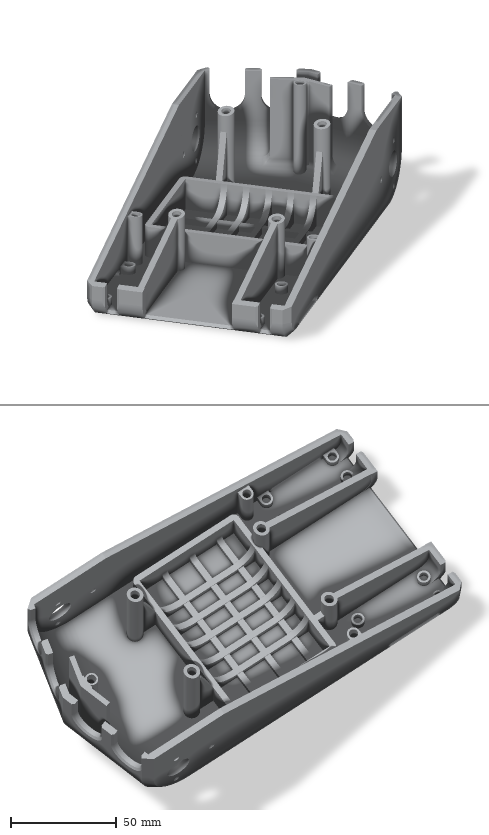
import cadquery as cq
import math

LENGTH = 197.8
WIDTH = 101.6
BACK_HEIGHT = 50.8
FRONT_HEIGHT = 17.2
SLOPE_END_Y = 139.8
WALL = 3.5
FRONT_RADIUS = 9.9
BACK_RADIUS = 24.5
BACK_ANGLE = 15.0
EDGE_CHAMFER = 3.5
TALL = 2 * BACK_HEIGHT

INNER_HALF = WIDTH / 2 - WALL
SLOPE = (BACK_HEIGHT - FRONT_HEIGHT) / SLOPE_END_Y

SHAFT_Y = 166.3
SHAFT_Z = 21.8
SHAFT_DIAMETER = 12.7
SCREW_DIAMETER = 3.2
SCREW_PLACES = [(167.5, 33.6), (167.5, 9.9), (147.1, SHAFT_Z)]
SIDE_SLOT_START = 14.6
SIDE_SLOT_END = 44.7
SIDE_SLOT_HEIGHT = 3.5

NOTCH_WIDTH = 16.8
NOTCH_CENTER_Z = 38.2
NOTCH_OFFSETS = [14.8, 39.4]
NOTCH_CHAMFER = 1.0

FRONT_GAP_HALF = 22.1
LIP_SLOT_INNER = 35.0
LIP_SLOT_OUTER = 41.0
LIP_EDGE_Y = 3.8
LIP_EDGE_Z = 2.2
LIP_BEVEL_RUN = 1.0
LIP_SLOT_FLARE = 1.2
LIP_SLOT_FLARE_DEPTH = 0.5

TRAY_HALF = 42.7
TRAY_FRONT = 68.0
TRAY_BACK = 128.5
TRAY_WALL = 3.0
TRAY_HEIGHT = 19.4
TRAY_CORNER = 3.0
LONG_RIB_WIDTH = 3.2
LONG_RIB_XS = [-20.5, -9.5, 1.8, 12.7, 23.7]
LONG_RIB_HEIGHT = 7.1
CROSS_RIB_WIDTH = 3.2
CROSS_RIB_HEIGHT = 6.7
CROSS_RIB_YS = [79.3, 95.0, 110.7]
CROSS_RIB_RADIUS = 3.0

POST_DIAMETER = 8.0
POST_BORE = 4.5
POST_X = 24.0
WEB_WIDTH = 3.2
FRONT_POSTS = [(-POST_X, 60.3), (POST_X, 66.0)]
BACK_POSTS = [(-POST_X, 139.8), (POST_X, 139.2)]
GUSSET_TOPS = [41.5, 38.0]

BOSS_DIAMETER = 6.3
BOSS_BORE = 4.4
BOSS_OUTER_X = 44.1
BOSS_INNER_X = 31.6
BOSS_HEIGHT = 7.5
TALL_BOSS_HEIGHT = 28.7
TALL_BOSS_Y = 60.3
BOSS_YS = [10.9, 49.0]

PLATE_RIDGE_Y = 187.5
PLATE_THICKNESS = 2.5
PLATE_LENGTH = 16.0
PLATE_FOOT_FILLET = 3.4
RIDGE_POST_Y = 181.1
RIDGE_WEB_HALF = 3.8
RIDGE_WEB_Y = 183.3


def box(x0, x1, y0, y1, z0, z1):
    """Axis-aligned block between two corners."""
    return cq.Workplane("XY").box(x1 - x0, y1 - y0, z1 - z0, centered=False).translate((x0, y0, z0))


def post(x, y, diameter, height):
    return cq.Workplane("XY").center(x, y).circle(diameter / 2).extrude(height)


def bore(x, y, diameter):
    """Blind hole from above that stops at the floor."""
    return cq.Workplane("XY").workplane(offset=WALL).center(x, y).circle(diameter / 2).extrude(TALL)


def wing_plane(side, ridge_y):
    """Plane whose local x points out of one half of the V, local y is up."""
    angle = math.radians(BACK_ANGLE)
    return cq.Plane(
        origin=(0, ridge_y, 0),
        xDir=(side * math.sin(angle), math.cos(angle), 0),
        normal=(math.cos(angle), -side * math.sin(angle), 0),
    )


def rounded_block(inset):
    """Solid body outline moved inward by inset on the front, back, sides and underside."""
    front_radius = FRONT_RADIUS - inset
    back_radius = BACK_RADIUS - inset
    block = (
        cq.Workplane("YZ")
        .moveTo(inset, TALL)
        .lineTo(inset, FRONT_RADIUS)
        .radiusArc((FRONT_RADIUS, inset), -front_radius)
        .lineTo(LENGTH, inset)
        .lineTo(LENGTH, TALL)
        .close()
        .extrude(WIDTH / 2 - inset, both=True)
    )
    for side in (-1, 1):
        half = (
            cq.Workplane(wing_plane(side, LENGTH))
            .moveTo(-2 * LENGTH, inset)
            .lineTo(-BACK_RADIUS, inset)
            .radiusArc((-inset, BACK_RADIUS), -back_radius)
            .lineTo(-inset, TALL)
            .lineTo(-2 * LENGTH, TALL)
            .close()
            .extrude(2 * WIDTH, both=True)
        )
        block = block.intersect(half)
    return block


def below_top(top_end_y):
    """Region under the sloping top, which runs level behind top_end_y."""
    level = FRONT_HEIGHT + SLOPE * top_end_y
    return (
        cq.Workplane("YZ")
        .polyline([(0, 0), (0, FRONT_HEIGHT), (top_end_y, level), (LENGTH, level), (LENGTH, 0)])
        .close()
        .extrude(WIDTH, both=True)
    )


def chamfered_body():
    """Outer body with the lower and end edges of both flanks chamfered."""
    block = rounded_block(0).intersect(below_top(SLOPE_END_Y))
    flank_edges = [
        edge
        for face in block.faces("<X or >X").vals()
        for edge in face.Edges()
        if not (edge.Center().z > FRONT_HEIGHT and edge.Center().y < LENGTH - BACK_RADIUS)
    ]
    return block.newObject(flank_edges).chamfer(EDGE_CHAMFER)


def side_openings():
    """Shaft hole, screw holes and long slot, cut through both side walls."""
    plane = cq.Workplane("YZ")
    tool = plane.center(SHAFT_Y, SHAFT_Z).circle(SHAFT_DIAMETER / 2).extrude(WIDTH, both=True)
    tool = tool.union(plane.pushPoints(SCREW_PLACES).circle(SCREW_DIAMETER / 2).extrude(WIDTH, both=True))
    slot_middle = (SIDE_SLOT_START + SIDE_SLOT_END) / 2
    slot = (
        plane.center(slot_middle, WALL + SIDE_SLOT_HEIGHT / 2)
        .slot2D(SIDE_SLOT_END - SIDE_SLOT_START, SIDE_SLOT_HEIGHT)
        .extrude(WIDTH, both=True)
    )
    return tool.union(slot)


def notch_prism(radius, depth, taper=0):
    """U-shaped prism centred on X, running from Y = 0 toward -Y and narrowing by the taper angle."""
    return (
        cq.Workplane("XZ")
        .moveTo(-radius, TALL)
        .lineTo(-radius, NOTCH_CENTER_Z)
        .radiusArc((radius, NOTCH_CENTER_Z), -radius)
        .lineTo(radius, TALL)
        .close()
        .extrude(depth, taper=taper)
    )


def back_notches():
    """U-shaped notches cut square to each half of the back wall, chamfered on the outside."""
    radius = NOTCH_WIDTH / 2
    flare = notch_prism(radius + NOTCH_CHAMFER, NOTCH_CHAMFER, taper=45)
    notch = notch_prism(radius, 2 * WALL).union(flare)
    tool = cq.Workplane("XY")
    for side in (-1, 1):
        for offset in NOTCH_OFFSETS:
            placed = notch.translate((side * offset, 0, 0))
            placed = placed.rotate((0, 0, 0), (0, 0, 1), -side * BACK_ANGLE)
            tool = tool.union(placed.translate((0, LENGTH, 0)))
    return tool


def lip_openings():
    """Wide gap and two narrow slots in the front lip, ending in a bevelled floor edge."""
    tool = cq.Workplane("XY")
    spans = [
        (-FRONT_GAP_HALF, FRONT_GAP_HALF),
        (-LIP_SLOT_OUTER, -LIP_SLOT_INNER),
        (LIP_SLOT_INNER, LIP_SLOT_OUTER),
    ]
    for start, end in spans:
        gap = (
            cq.Workplane("YZ", origin=(start, 0, 0))
            .moveTo(0, 0)
            .lineTo(LIP_EDGE_Y, 0)
            .lineTo(LIP_EDGE_Y, LIP_EDGE_Z)
            .lineTo(LIP_EDGE_Y + LIP_BEVEL_RUN, WALL)
            .lineTo(FRONT_RADIUS, WALL)
            .lineTo(FRONT_RADIUS, TALL)
            .lineTo(0, TALL)
            .close()
            .extrude(end - start)
        )
        tool = tool.union(gap)
    for start, end in spans[1:]:
        mouth = (
            cq.Workplane("XY")
            .polyline([
                (start - LIP_SLOT_FLARE, 0),
                (end + LIP_SLOT_FLARE, 0),
                (end, LIP_SLOT_FLARE_DEPTH),
                (start, LIP_SLOT_FLARE_DEPTH),
            ])
            .close()
            .extrude(TALL)
        )
        tool = tool.union(mouth)
    return tool


def tray():
    """Walled tray with lengthwise ribs that curve up its ends and lower cross ribs."""
    inner_half = TRAY_HALF - TRAY_WALL
    inner_front = TRAY_FRONT + TRAY_WALL
    inner_back = TRAY_BACK - TRAY_WALL
    walls = box(-TRAY_HALF, TRAY_HALF, TRAY_FRONT, TRAY_BACK, 0, TRAY_HEIGHT).edges("|Z").fillet(TRAY_CORNER)
    walls = walls.cut(box(-inner_half, inner_half, inner_front, inner_back, 0, TALL))

    end_radius = TRAY_HEIGHT - LONG_RIB_HEIGHT
    for x in LONG_RIB_XS:
        rib = (
            cq.Workplane("YZ", origin=(x, 0, 0))
            .moveTo(inner_front, 0)
            .lineTo(inner_front, TRAY_HEIGHT)
            .radiusArc((inner_front + end_radius, LONG_RIB_HEIGHT), -end_radius)
            .lineTo(inner_back - end_radius, LONG_RIB_HEIGHT)
            .radiusArc((inner_back, TRAY_HEIGHT), -end_radius)
            .lineTo(inner_back, 0)
            .close()
            .extrude(LONG_RIB_WIDTH / 2, both=True)
        )
        walls = walls.union(rib)

    cross_end = CROSS_RIB_HEIGHT + CROSS_RIB_RADIUS
    for y in CROSS_RIB_YS:
        rib = (
            cq.Workplane("XZ", origin=(0, y, 0))
            .moveTo(-inner_half, 0)
            .lineTo(-inner_half, cross_end)
            .radiusArc((CROSS_RIB_RADIUS - inner_half, CROSS_RIB_HEIGHT), -CROSS_RIB_RADIUS)
            .lineTo(inner_half - CROSS_RIB_RADIUS, CROSS_RIB_HEIGHT)
            .radiusArc((inner_half, cross_end), -CROSS_RIB_RADIUS)
            .lineTo(inner_half, 0)
            .close()
            .extrude(CROSS_RIB_WIDTH / 2, both=True)
        )
        walls = walls.union(rib)
    return walls


def tall_posts():
    """Four screw posts; the front pair carry long webs and the back pair carry gussets."""
    posts = cq.Workplane("XY")
    half_web = WEB_WIDTH / 2
    for x, y in FRONT_POSTS:
        posts = posts.union(post(x, y, POST_DIAMETER, TALL))
        posts = posts.union(box(x - half_web, x + half_web, 0, y, 0, TALL))
        posts = posts.union(box(x - half_web, x + half_web, y, TRAY_FRONT, 0, TRAY_HEIGHT))
    for (x, y), gusset_top in zip(BACK_POSTS, GUSSET_TOPS):
        posts = posts.union(post(x, y, POST_DIAMETER, TALL))
        gusset = (
            cq.Workplane("YZ", origin=(x, 0, 0))
            .polyline([
                (TRAY_BACK, 0),
                (TRAY_BACK, TRAY_HEIGHT),
                (y - POST_DIAMETER / 2, gusset_top),
                (y, gusset_top),
                (y, 0),
            ])
            .close()
            .extrude(half_web, both=True)
        )
        posts = posts.union(gusset)
    return posts.intersect(below_top(BACK_POSTS[0][1] + POST_DIAMETER))


def small_bosses():
    """Short bosses on the floor, the outer ones joined to the side walls, plus one tall pair."""
    bosses = cq.Workplane("XY")
    heights = [(y, BOSS_HEIGHT) for y in BOSS_YS] + [(TALL_BOSS_Y, TALL_BOSS_HEIGHT)]
    radius = BOSS_DIAMETER / 2
    for side in (-1, 1):
        for y, height in heights:
            wall_ends = sorted((side * BOSS_OUTER_X, side * (INNER_HALF + WALL / 2)))
            bosses = bosses.union(post(side * BOSS_OUTER_X, y, BOSS_DIAMETER, height))
            bosses = bosses.union(box(*wall_ends, y - radius, y + radius, WALL / 2, height))
        for y in BOSS_YS:
            bosses = bosses.union(post(side * BOSS_INNER_X, y, BOSS_DIAMETER, BOSS_HEIGHT))
    return bosses


def ridge_plate():
    """V-shaped plate parallel to the back wall, with square ends."""
    angle = math.radians(BACK_ANGLE)
    ridge_thickness = PLATE_THICKNESS / math.cos(angle)
    back_x = PLATE_LENGTH * math.cos(angle)
    back_y = PLATE_RIDGE_Y - PLATE_LENGTH * math.sin(angle)
    front_x = back_x - PLATE_THICKNESS * math.sin(angle)
    front_y = back_y - PLATE_THICKNESS * math.cos(angle)
    return (
        cq.Workplane("XY")
        .polyline([
            (0, PLATE_RIDGE_Y),
            (back_x, back_y),
            (front_x, front_y),
            (0, PLATE_RIDGE_Y - ridge_thickness),
            (-front_x, front_y),
            (-back_x, back_y),
        ])
        .close()
        .extrude(BACK_HEIGHT)
    )


def bores():
    """Blind holes in every post and boss."""
    holes = cq.Workplane("XY")
    for x, y in FRONT_POSTS + BACK_POSTS + [(0, RIDGE_POST_Y)]:
        holes = holes.union(bore(x, y, POST_BORE))
    for side in (-1, 1):
        for y in BOSS_YS + [TALL_BOSS_Y]:
            holes = holes.union(bore(side * BOSS_OUTER_X, y, BOSS_BORE))
        for y in BOSS_YS:
            holes = holes.union(bore(side * BOSS_INNER_X, y, BOSS_BORE))
    return holes


def plate_foot_edges(solid):
    """Edges where the front and ends of the ridge plate meet the curved floor."""
    reach = PLATE_LENGTH + PLATE_THICKNESS
    zone = cq.selectors.BoxSelector(
        (-reach, RIDGE_POST_Y - PLATE_THICKNESS / 2, WALL),
        (reach, PLATE_RIDGE_Y - PLATE_THICKNESS, BACK_RADIUS),
    )
    return solid.edges(zone).edges("not |Z")


envelope = rounded_block(WALL / 2)
shell = chamfered_body().cut(rounded_block(WALL))
shell = shell.union(ridge_plate().intersect(envelope))
shell = plate_foot_edges(shell).fillet(PLATE_FOOT_FILLET)
shell = shell.cut(side_openings()).cut(back_notches())

ridge_post = post(0, RIDGE_POST_Y, BOSS_DIAMETER, BACK_HEIGHT).union(
    box(-RIDGE_WEB_HALF, RIDGE_WEB_HALF, RIDGE_WEB_Y, PLATE_RIDGE_Y - PLATE_THICKNESS, 0, BACK_HEIGHT)
)
inside = tray().union(tall_posts()).union(small_bosses()).union(ridge_post)

result = shell.union(inside.intersect(envelope)).cut(bores()).cut(lip_openings())